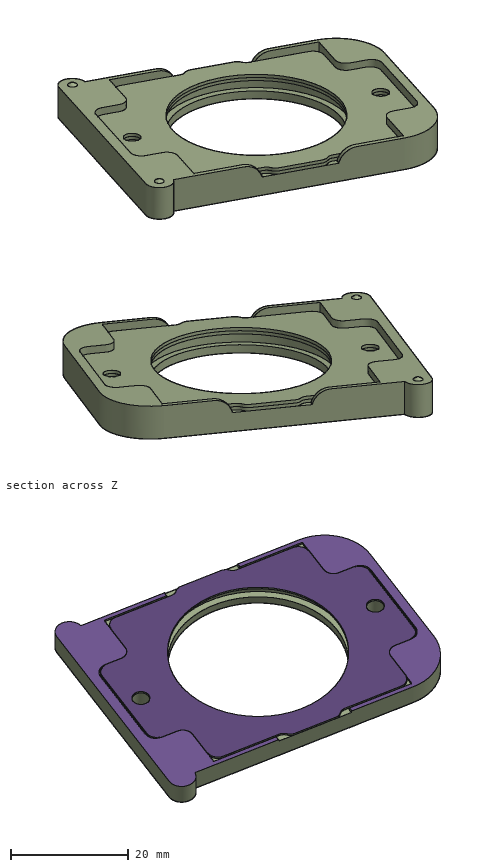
import cadquery as cq
import math


frame_length = 56.45
frame_width = 40.35
frame_height = 6.05
front_edge = -28.35
back_edge = front_edge + frame_length
back_corner_radius = 8.9

ear_span = 44.6
ear_radius = 2.5
ear_x = ear_span / 2 - ear_radius
ear_y = front_edge + ear_radius
dome_diameter = 1.7
dome_height = 0.4

bore_diameter = 30.9
seat_diameter = 33.4
seat_height = 1.5
hole_diameter = 3.0
hole_distance = 22.85

plate_count = 2
stack_height = 1.2
plate_thickness = stack_height / plate_count
pocket_floor = 3.5
pocket_width = 38.55
pocket_length = 38.55
tab_width = 19.75
pocket_tab_length = 52.65
outline_radius = 2.0
plate_gap = 0.2
plate_width = pocket_width - 2 * plate_gap
plate_tab_length = pocket_tab_length - 2 * plate_gap

lug_half_length = 3.95
lug_flare = 2.5

notch_top_half_length = 10.4
notch_shoulder_radius = 3.5


def tabbed_outline(body_width, tab_length, height):
    """Rectangular slab with a narrower tab at each end and rounded inner corners at the tabs."""
    body = cq.Workplane("XY").box(body_width, pocket_length, height, centered=(True, True, False))
    tabs = cq.Workplane("XY").box(tab_width, tab_length, height, centered=(True, True, False))
    inner_corner = outline_radius / 2
    reach = tab_width / 2 + inner_corner
    inner_corners = cq.selectors.BoxSelector(
        (-reach, -pocket_length / 2 - inner_corner, -height),
        (reach, pocket_length / 2 + inner_corner, 2 * height),
    )
    slab = body.union(tabs)
    slab = slab.edges("|Z").edges(inner_corners).fillet(outline_radius)
    return slab.edges("|Z").edges(">Y or <Y").fillet(outline_radius)


def screw_holes(height):
    """Cylinders for the two screw holes, in front of and behind the bore."""
    centers = [(0, -hole_distance), (0, hole_distance)]
    return cq.Workplane("XY").pushPoints(centers).circle(hole_diameter / 2).extrude(height)


def frame_blank():
    """Frame slab with large rounded back corners and the two front ears."""
    ear_centers = [(-ear_x, ear_y), (ear_x, ear_y)]
    slab = (
        cq.Workplane("XY")
        .center(0, (ear_y + back_edge) / 2)
        .rect(frame_width, back_edge - ear_y)
        .extrude(frame_height)
        .edges("|Z and >Y")
        .fillet(back_corner_radius)
    )
    ears = cq.Workplane("XY").pushPoints(ear_centers).circle(ear_radius).extrude(frame_height)
    front_bar = (
        cq.Workplane("XY")
        .center(0, ear_y)
        .rect(2 * ear_x, 2 * ear_radius)
        .extrude(frame_height)
    )
    return slab.union(front_bar).union(ears)


def ear_dome(x):
    """Spherical cap on top of the ear at x, rooted in the frame."""
    sphere_radius = ((dome_diameter / 2) ** 2 + dome_height**2) / (2 * dome_height)
    sphere_center = (x, ear_y, frame_height + dome_height - sphere_radius)
    return cq.Workplane("XY").sphere(sphere_radius).translate(sphere_center)


def side_notch():
    """Bar along X that lowers both side walls to the pocket floor, with convex shoulders."""
    shoulder_center_z = frame_height - notch_shoulder_radius
    floor_offset = pocket_floor - shoulder_center_z
    floor_half_length = notch_top_half_length - math.sqrt(notch_shoulder_radius**2 - floor_offset**2)
    return (
        cq.Workplane("YZ")
        .moveTo(notch_top_half_length, frame_height)
        .radiusArc((floor_half_length, pocket_floor), -notch_shoulder_radius)
        .lineTo(-floor_half_length, pocket_floor)
        .radiusArc((-notch_top_half_length, frame_height), -notch_shoulder_radius)
        .close()
        .extrude(frame_width / 2, both=True)
    )


def pocket():
    """Pocket for the plates; its outer corners stay sharp."""
    slab = tabbed_outline(pocket_width, pocket_tab_length, frame_height - pocket_floor)
    return slab.translate((0, 0, pocket_floor))


def make_frame():
    """Frame with pocket, side notches, ear domes, stepped bore and screw holes."""
    frame = frame_blank()
    frame = frame.cut(pocket()).cut(side_notch())
    for x in (-ear_x, ear_x):
        frame = frame.union(ear_dome(x))
    bore = cq.Workplane("XY").circle(bore_diameter / 2).extrude(frame_height)
    seat = cq.Workplane("XY").workplane(offset=seat_height).circle(seat_diameter / 2).extrude(frame_height)
    return frame.cut(bore).cut(seat).cut(screw_holes(frame_height))


def side_lugs():
    """Lugs on both sides of the plate, narrowing in S-curves up to the frame sides."""
    root_x = plate_width / 2
    tip_x = frame_width / 2
    root_y = lug_half_length + lug_flare
    middle_x = (root_x + tip_x) / 2
    middle_y = lug_half_length + lug_flare / 2
    arc_rise = middle_x - root_x
    arc_run = lug_flare / 2
    arc_radius = (arc_rise**2 + arc_run**2) / (2 * arc_rise)
    right_lug = (
        cq.Workplane("XY")
        .moveTo(root_x, -root_y)
        .radiusArc((middle_x, -middle_y), arc_radius)
        .radiusArc((tip_x, -lug_half_length), -arc_radius)
        .lineTo(tip_x, lug_half_length)
        .radiusArc((middle_x, middle_y), -arc_radius)
        .radiusArc((root_x, root_y), arc_radius)
        .close()
        .extrude(plate_thickness)
    )
    return right_lug.union(right_lug.mirror("YZ"))


def make_plate(bottom):
    """Tabbed plate with rounded corners, side lugs, bore and screw holes."""
    plate = tabbed_outline(plate_width, plate_tab_length, plate_thickness)
    plate = plate.edges("|Z").edges(">X or <X").fillet(outline_radius)
    plate = plate.union(side_lugs())
    bore = cq.Workplane("XY").circle(bore_diameter / 2).extrude(plate_thickness)
    plate = plate.cut(bore).cut(screw_holes(plate_thickness))
    return plate.translate((0, 0, bottom))


frame = make_frame()
plates = [make_plate(pocket_floor + level * plate_thickness) for level in range(plate_count)]

result = cq.Compound.makeCompound([frame.val(), *[plate.val() for plate in plates]])